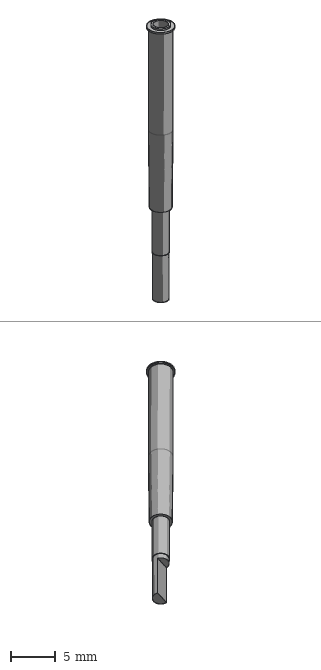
import cadquery as cq

TOTAL_LENGTH = 35.0
LIP_HEIGHT = 0.2
FLANGE_THICKNESS = 0.2
BODY_BOTTOM = 21.6
TAPER_BOTTOM = 11.7
SHANK_BOTTOM = 6.0
FLAT_TOP = 5.32

LIP_DIAMETER = 2.25
FLANGE_DIAMETER = 3.2
BODY_DIAMETER = 2.8
TAPER_END_DIAMETER = 2.6
SHANK_DIAMETER = 2.0
TAIL_DIAMETER = 1.9

BORE_DIAMETER = 1.7
BORE_DEPTH = 7.0

FLAT_OFFSET = 0.18

flange_top = TOTAL_LENGTH - LIP_HEIGHT
flange_bottom = flange_top - FLANGE_THICKNESS


def cylinder(diameter, bottom, top):
    """Vertical cylinder on the part axis between two heights."""
    return cq.Workplane("XY").workplane(offset=bottom).circle(diameter / 2).extrude(top - bottom)


def turned_pin():
    """Stepped round pin: lip, flange, body, taper, shank and tail."""
    taper = (
        cq.Workplane("XY")
        .workplane(offset=TAPER_BOTTOM)
        .circle(TAPER_END_DIAMETER / 2)
        .workplane(offset=BODY_BOTTOM - TAPER_BOTTOM)
        .circle(BODY_DIAMETER / 2)
        .loft(ruled=True)
    )
    return (
        taper
        .union(cylinder(LIP_DIAMETER, flange_top, TOTAL_LENGTH))
        .union(cylinder(FLANGE_DIAMETER, flange_bottom, flange_top))
        .union(cylinder(BODY_DIAMETER, BODY_BOTTOM, flange_bottom))
        .union(cylinder(SHANK_DIAMETER, SHANK_BOTTOM, TAPER_BOTTOM))
        .union(cylinder(TAIL_DIAMETER, 0, SHANK_BOTTOM))
    )


def tail_flat():
    """Block that removes the +Y side of the tail, up to a square shoulder."""
    return (
        cq.Workplane("XY")
        .box(TAIL_DIAMETER, TAIL_DIAMETER, FLAT_TOP, centered=(True, False, False))
        .translate((0, FLAT_OFFSET, 0))
    )


bore = cylinder(BORE_DIAMETER, TOTAL_LENGTH - BORE_DEPTH, TOTAL_LENGTH)
result = turned_pin().cut(bore).cut(tail_flat())